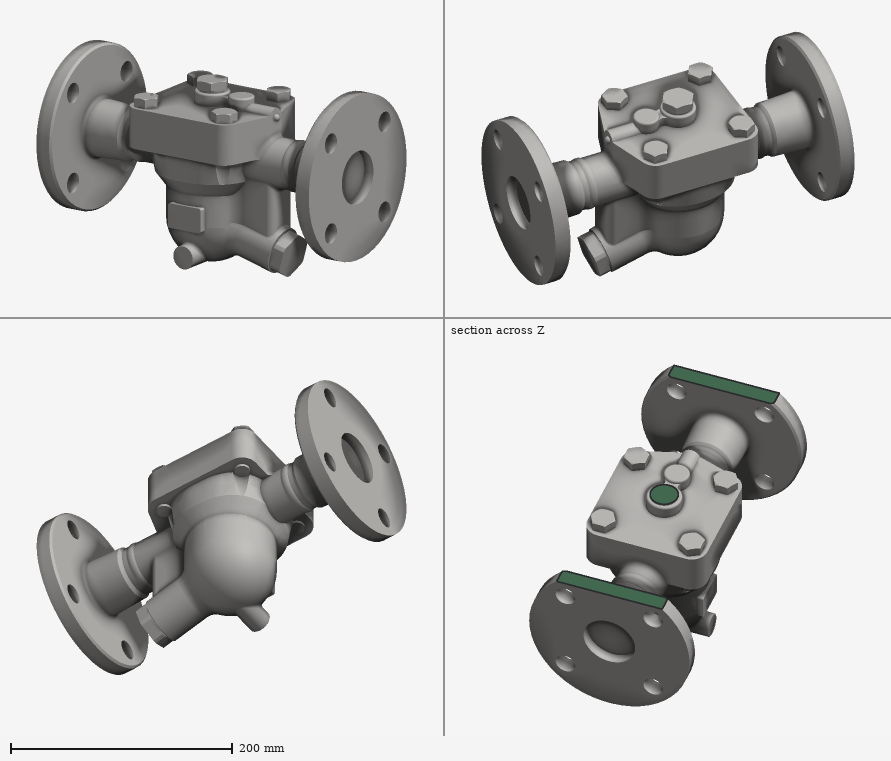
import cadquery as cq
import math

FACE_TO_FACE = 300.0
FLANGE_RADIUS = 155.0 / 2
FLANGE_THICKNESS = 16.0
FLANGE_CHAMFER = 2.0
FLANGE_HOLE_DIAMETER = 19.0
FLANGE_HOLE_OFFSET = 42.4
BORE_DIAMETER = 50.0
BORE_DEPTH = 10.0
PIPE_RADIUS = 46.0 / 2
NECK_FILLET = 3.3
NECK_LARGE_RADIUS = 26.9
NECK_SMALL_RADIUS = 25.4
NECK_END = 52.5
NECK_STEP_END = 56.0
BEAD_START = 61.0
BEAD_END = 68.8
BEAD_HEIGHT = 1.0
HALF_LENGTH = FACE_TO_FACE / 2
SURFACE_TOLERANCE = 0.01
EDGE_SAMPLES = (0.1, 0.5, 0.9)

BODY_X = -10.0
PLATE_HALF = 58.0
BOLT_OFFSET = 43.0
CORNER_RADIUS = PLATE_HALF - BOLT_OFFSET
NOSE_X = 59.6
NOSE_HALF_WIDTH = 9.0
PLATE_BOTTOM = 6.6
JOINT_Z = 27.1
COVER_TOP = 44.5
PIPE_TO_PLATE_FILLET = 4.0

BOLT_AF = 21.0
BOLT_HEAD_HEIGHT = 9.0
HEX_CHAMFER = 0.8
BOLT_END_DIAMETER = 14.0
BOLT_END_LENGTH = 2.6
MAIN_BOSS_RADIUS = 16.5
SIDE_BOSS_RADIUS = 12.0
SIDE_BOSS_SPACING = 32.0
BOSS_TOP = 56.4
BOSS_ROUND = 2.0
WEB_TOP = 53.6
WEB_ROUND = 6.0
PLUG_AF = 27.0
PLUG_NECK_RADIUS = 13.0
PLUG_BOTTOM = 58.1
PLUG_TOP = 66.7
CHANNEL_RADIUS = NOSE_HALF_WIDTH
CHANNEL_Z = 41.6
BALL_RADIUS = 3.5
BALL_PROTRUSION = 4.0

VESSEL_RADIUS = 42.0
DOME_Z = -62.0
SHOULDER_TOP = -18.4
SHOULDER_BOTTOM = -32.2
SHOULDER_HALF = 50.3
SHOULDER_DIAGONAL = 52.3
BODY_TOP_HALF = 53.0
BODY_TOP_DIAGONAL = 57.0
FLARE_POINTS = 16
BOLT_CLEARANCE_RADIUS = 9.0

PORT_ANGLE = 15.0
PORT_RADIUS = 44.0 / 2
PORT_LENGTH = 80.0
PORT_ROUND = 15.5
CAP_AF = 38.0
CAP_CORNER_RADIUS = 20.86
CAP_NECK_RADIUS = 19.0
CAP_NECK_LENGTH = 1.4
CAP_LENGTH = 11.08
RIB_HALF_WIDTH = 17.0
RIB_START_X = 12.0
RIB_END_X = 67.7
RIB_BOTTOM = -71.0
RIB_CORNER_RADIUS = 7.2
RIB_TO_VESSEL_RADIUS = 14.6
RIB_TO_PORT_FILLET = 2.0
RIB_TO_PIPE_FILLET = 4.0

DRAIN_RADIUS = 22.0 / 2
DRAIN_Z = -91.0
DRAIN_END_Y = -46.5
DRAIN_CHAMFER = 0.5
DRAIN_FILLET = 3.0
PAD_WIDTH = 36.0
PAD_TOP = -42.7
PAD_BOTTOM = -66.0
PAD_FACE_Y = -44.5
PAD_CORNER_RADIUS = 2.0


def cylinder_z(x, y, z_low, z_high, radius):
    return cq.Workplane("XY", origin=(x, y, z_low)).circle(radius).extrude(z_high - z_low)


def hex_corner_radius(across_flats):
    return across_flats / math.sqrt(3)


def hex_prism(across_flats, height):
    """Hexagonal prism on the XY plane with a corner on +X."""
    return cq.Workplane("XY").polygon(6, 2 * hex_corner_radius(across_flats)).extrude(height)


def hex_head(across_flats, height, bevelled_ends):
    """Hexagonal prism whose corners are bevelled at the ends chosen by a face selector."""
    corner = hex_corner_radius(across_flats)
    bevel = cq.Workplane("XY").circle(corner).extrude(height)
    bevel = bevel.faces(bevelled_ends).chamfer(HEX_CHAMFER, corner - across_flats / 2)
    return hex_prism(across_flats, height).intersect(bevel)


def pipe_end():
    """Flange, weld neck and weld bead at the inlet (-X) end, ending at mid-length."""
    fillet_start = FLANGE_THICKNESS + NECK_FILLET
    diagonal = NECK_FILLET * (1 - math.sqrt(0.5))
    profile = (
        cq.Workplane("XY")
        .moveTo(0, 0)
        .lineTo(0, FLANGE_RADIUS)
        .lineTo(FLANGE_THICKNESS - FLANGE_CHAMFER, FLANGE_RADIUS)
        .lineTo(FLANGE_THICKNESS, FLANGE_RADIUS - FLANGE_CHAMFER)
        .lineTo(FLANGE_THICKNESS, NECK_LARGE_RADIUS + NECK_FILLET)
        .threePointArc(
            (FLANGE_THICKNESS + diagonal, NECK_LARGE_RADIUS + diagonal), (fillet_start, NECK_LARGE_RADIUS)
        )
        .lineTo(NECK_END, NECK_SMALL_RADIUS)
        .lineTo(NECK_STEP_END, PIPE_RADIUS)
        .lineTo(BEAD_START, PIPE_RADIUS)
        .threePointArc(((BEAD_START + BEAD_END) / 2, PIPE_RADIUS + BEAD_HEIGHT), (BEAD_END, PIPE_RADIUS))
        .lineTo(HALF_LENGTH, PIPE_RADIUS)
        .lineTo(HALF_LENGTH, 0)
        .close()
    )
    end = profile.revolve(360, (0, 0, 0), (1, 0, 0)).translate((-HALF_LENGTH, 0, 0))
    hole_span = 2 * FLANGE_HOLE_OFFSET
    holes = (
        cq.Workplane("YZ", origin=(-HALF_LENGTH, 0, 0))
        .rect(hole_span, hole_span, forConstruction=True)
        .vertices()
        .circle(FLANGE_HOLE_DIAMETER / 2)
        .extrude(FLANGE_THICKNESS)
    )
    bore = cq.Workplane("YZ", origin=(-HALF_LENGTH, 0, 0)).circle(BORE_DIAMETER / 2).extrude(BORE_DEPTH)
    return end.cut(holes).cut(bore)


def plate(z_low, z_high):
    """Cover outline: square with rounded corners, tapering to a blunt nose on the +X side."""
    bolt_x = BODY_X + BOLT_OFFSET
    left = BODY_X - PLATE_HALF
    left_bolt_x = BODY_X - BOLT_OFFSET
    dx = NOSE_X - bolt_x
    dy = NOSE_HALF_WIDTH - BOLT_OFFSET
    normal = math.atan2(dy, dx) + math.acos(CORNER_RADIUS / math.hypot(dx, dy))
    middle = (normal + math.pi / 2) / 2

    def on_corner(angle, side):
        return (
            bolt_x + CORNER_RADIUS * math.cos(angle),
            side * (BOLT_OFFSET + CORNER_RADIUS * math.sin(angle)),
        )

    bulge = CORNER_RADIUS * math.sqrt(0.5)
    outline = (
        cq.Workplane("XY", origin=(0, 0, z_low))
        .moveTo(NOSE_X, NOSE_HALF_WIDTH)
        .lineTo(*on_corner(normal, 1))
        .threePointArc(on_corner(middle, 1), (bolt_x, PLATE_HALF))
        .lineTo(left_bolt_x, PLATE_HALF)
        .threePointArc((left_bolt_x - bulge, BOLT_OFFSET + bulge), (left, BOLT_OFFSET))
        .lineTo(left, -BOLT_OFFSET)
        .threePointArc((left_bolt_x - bulge, -BOLT_OFFSET - bulge), (left_bolt_x, -PLATE_HALF))
        .lineTo(bolt_x, -PLATE_HALF)
        .threePointArc(on_corner(middle, -1), on_corner(normal, -1))
        .lineTo(NOSE_X, -NOSE_HALF_WIDTH)
        .close()
    )
    return outline.extrude(z_high - z_low)


def edges_on_pipe(shape, keep):
    """Edges lying on the pipe surface whose middle point satisfies keep."""
    found = []
    for edge in shape.edges().vals():
        points = [edge.positionAt(t) for t in EDGE_SAMPLES]
        on_pipe = all(abs(math.hypot(p.y, p.z) - PIPE_RADIUS) < SURFACE_TOLERANCE for p in points)
        if on_pipe and keep(points[1]):
            found.append(edge)
    return found


def body_flange_on_pipe():
    """Middle of the pipe with the body flange, rounded where the pipe enters the flange sides."""
    half = HALF_LENGTH - BEAD_END
    tube = cq.Workplane("YZ", origin=(-half, 0, 0)).circle(PIPE_RADIUS).extrude(2 * half)
    joined = tube.union(plate(PLATE_BOTTOM, JOINT_Z))
    entry = edges_on_pipe(joined, lambda p: p.z > PLATE_BOTTOM + 0.1 and abs(p.x) < half - 1)
    return joined.newObject(entry).fillet(PIPE_TO_PLATE_FILLET)


def bowed_square(z, half, diagonal):
    """Smooth closed outline around the body axis, its radius running from half on X and Y to diagonal."""
    mean = (half + diagonal) / 2
    swing = (diagonal - half) / 2
    points = []
    for step in range(FLARE_POINTS):
        angle = 2 * math.pi * step / FLARE_POINTS
        radius = mean - swing * math.cos(4 * angle)
        points.append((BODY_X + radius * math.cos(angle), radius * math.sin(angle)))
    return cq.Workplane("XY", origin=(0, 0, z)).spline(points, periodic=True).wire().val()


def body():
    """Vessel with a spherical bottom, sloping shoulder and a flare up to the body flange."""
    dome_reach = VESSEL_RADIUS * math.sqrt(0.5)
    shell = (
        cq.Workplane("XZ")
        .moveTo(0, DOME_Z - VESSEL_RADIUS)
        .threePointArc((dome_reach, DOME_Z - dome_reach), (VESSEL_RADIUS, DOME_Z))
        .lineTo(VESSEL_RADIUS, SHOULDER_BOTTOM)
        .lineTo(0, SHOULDER_BOTTOM)
        .close()
        .revolve(360, (0, 0, 0), (0, 1, 0))
        .translate((BODY_X, 0, 0))
    )
    sections = [
        bowed_square(SHOULDER_BOTTOM, VESSEL_RADIUS, VESSEL_RADIUS),
        bowed_square(SHOULDER_TOP, SHOULDER_HALF, SHOULDER_DIAGONAL),
        bowed_square(PLATE_BOTTOM, BODY_TOP_HALF, BODY_TOP_DIAGONAL),
    ]
    flare = cq.Workplane(cq.Solid.makeLoft(sections, True))
    for x, y in bolt_places():
        flare = flare.cut(cylinder_z(x, y, SHOULDER_TOP, PLATE_BOTTOM, BOLT_CLEARANCE_RADIUS))
    return shell.union(flare)


def bolt_places():
    return [(BODY_X + i * BOLT_OFFSET, j * BOLT_OFFSET) for i in (-1, 1) for j in (-1, 1)]


def bolts():
    """Bolt heads on the cover and bolt ends below the body flange, as a list."""
    parts = []
    for x, y in bolt_places():
        turn = 0 if (x - BODY_X) * y > 0 else 30
        head = hex_head(BOLT_AF, BOLT_HEAD_HEIGHT, ">Z").rotate((0, 0, 0), (0, 0, 1), turn)
        head = head.translate((x, y, COVER_TOP))
        end = cylinder_z(x, y, PLATE_BOTTOM - BOLT_END_LENGTH, PLATE_BOTTOM, BOLT_END_DIAMETER / 2)
        parts += [head, end]
    return parts


def boss(x, radius):
    """Round boss on the cover with a rounded top edge."""
    return cylinder_z(x, 0, COVER_TOP, BOSS_TOP, radius).faces(">Z").edges().fillet(BOSS_ROUND)


def cover_bosses():
    """Main and side boss joined by a waisted web, with the hexagonal plug and the side channel."""
    side_x = BODY_X + SIDE_BOSS_SPACING
    main = boss(BODY_X, MAIN_BOSS_RADIUS)
    side = boss(side_x, SIDE_BOSS_RADIUS)

    to_main = MAIN_BOSS_RADIUS + WEB_ROUND
    to_side = SIDE_BOSS_RADIUS + WEB_ROUND
    waist_x = (SIDE_BOSS_SPACING**2 + to_main**2 - to_side**2) / (2 * SIDE_BOSS_SPACING)
    waist_y = math.sqrt(to_main**2 - waist_x**2)
    main_share = MAIN_BOSS_RADIUS / to_main
    main_touch = (BODY_X + waist_x * main_share, waist_y * main_share)
    side_share = SIDE_BOSS_RADIUS / to_side
    side_touch = (side_x - (SIDE_BOSS_SPACING - waist_x) * side_share, waist_y * side_share)
    waist = (BODY_X + waist_x, waist_y - WEB_ROUND)
    web = (
        cq.Workplane("XY", origin=(0, 0, COVER_TOP))
        .moveTo(BODY_X, 0)
        .lineTo(*main_touch)
        .threePointArc(waist, side_touch)
        .lineTo(side_x, 0)
        .lineTo(side_touch[0], -side_touch[1])
        .threePointArc((waist[0], -waist[1]), (main_touch[0], -main_touch[1]))
        .close()
        .extrude(WEB_TOP - COVER_TOP)
    )
    neck = cylinder_z(BODY_X, 0, BOSS_TOP, PLUG_BOTTOM, PLUG_NECK_RADIUS)
    plug = hex_head(PLUG_AF, PLUG_TOP - PLUG_BOTTOM, "<Z or >Z").translate((BODY_X, 0, PLUG_BOTTOM))
    channel_start = cq.Workplane("YZ", origin=(side_x, 0, CHANNEL_Z))
    channel = channel_start.circle(CHANNEL_RADIUS).extrude(NOSE_X - side_x)
    ball_x = NOSE_X + BALL_PROTRUSION - BALL_RADIUS
    ball = cq.Workplane("XY").sphere(BALL_RADIUS).translate((ball_x, 0, CHANNEL_Z))
    return main.union(side).union(web).union(neck).union(plug).union(channel).union(ball)


def along_port(shape):
    """Turns a shape built along +Z at the origin so that it runs along the port from the dome centre."""
    return shape.rotate((0, 0, 0), (0, 1, 0), 90 + PORT_ANGLE).translate((BODY_X, 0, DOME_Z))


def port():
    """Port cylinder flowing into the dome through a concave round."""
    round_s = math.sqrt((VESSEL_RADIUS + PORT_ROUND) ** 2 - (PORT_RADIUS + PORT_ROUND) ** 2)
    share = VESSEL_RADIUS / (VESSEL_RADIUS + PORT_ROUND)
    touch = ((PORT_RADIUS + PORT_ROUND) * share, round_s * share)
    profile = (
        cq.Workplane("XZ")
        .moveTo(0, 0)
        .lineTo(*touch)
        .radiusArc((PORT_RADIUS, round_s), PORT_ROUND)
        .lineTo(PORT_RADIUS, PORT_LENGTH)
        .lineTo(0, PORT_LENGTH)
        .close()
    )
    return along_port(profile.revolve(360, (0, 0, 0), (0, 1, 0)))


def port_cap():
    """Short neck and hexagonal cap with turned-down corners at the port end."""
    head_start = PORT_LENGTH + CAP_NECK_LENGTH
    neck = cylinder_z(0, 0, PORT_LENGTH, head_start, CAP_NECK_RADIUS)
    hexagon = hex_prism(CAP_AF, CAP_LENGTH).translate((0, 0, head_start))
    head = hexagon.intersect(cylinder_z(0, 0, head_start, head_start + CAP_LENGTH, CAP_CORNER_RADIUS))
    return along_port(neck.union(head))


def on_port(point):
    """Whether a point lies on the port cylinder."""
    angle = math.radians(PORT_ANGLE)
    above_axis = (point.x - BODY_X) * math.sin(angle) + (point.z - DOME_Z) * math.cos(angle)
    return abs(math.hypot(above_axis, point.y) - PORT_RADIUS) < SURFACE_TOLERANCE


def rib():
    """Straight rib with rounded outer corners between pipe and port, filleted into both."""
    column = (
        cq.Workplane("XY", origin=(0, 0, RIB_BOTTOM))
        .moveTo(RIB_START_X, -RIB_HALF_WIDTH)
        .rect(RIB_END_X - RIB_START_X, 2 * RIB_HALF_WIDTH, centered=False)
        .extrude(-RIB_BOTTOM)
        .edges("|Z and >X")
        .fillet(RIB_CORNER_RADIUS)
    )
    tube_length = HALF_LENGTH - BEAD_END
    on_tube = column.union(cq.Workplane("YZ").circle(PIPE_RADIUS).extrude(tube_length))
    entry = edges_on_pipe(on_tube, lambda p: p.z < 0 and 1 < p.x < tube_length - 1)
    filleted = on_tube.newObject(entry).fillet(RIB_TO_PIPE_FILLET)

    on_both = filleted.union(along_port(cylinder_z(0, 0, 0, PORT_LENGTH, PORT_RADIUS)))
    entry = [
        edge
        for edge in on_both.edges().vals()
        if edge.geomType() != "CIRCLE"
        and RIB_START_X + 1 < edge.positionAt(0.5).x
        and all(on_port(edge.positionAt(t)) for t in EDGE_SAMPLES)
        and edge.positionAt(0.5).z > RIB_BOTTOM
    ]
    return on_both.newObject(entry).fillet(RIB_TO_PORT_FILLET)


def rib_roots():
    """Concave rounds that lead from the vessel wall to the two rib sides."""
    centre_y = RIB_HALF_WIDTH + RIB_TO_VESSEL_RADIUS
    reach = VESSEL_RADIUS + RIB_TO_VESSEL_RADIUS
    centre_x = BODY_X + math.sqrt(reach**2 - centre_y**2)
    share = VESSEL_RADIUS / reach
    touch = (BODY_X + (centre_x - BODY_X) * share, centre_y * share)
    return (
        cq.Workplane("XY")
        .moveTo(BODY_X, 0)
        .lineTo(*touch)
        .radiusArc((centre_x, RIB_HALF_WIDTH), -RIB_TO_VESSEL_RADIUS)
        .lineTo(centre_x, -RIB_HALF_WIDTH)
        .radiusArc((touch[0], -touch[1]), -RIB_TO_VESSEL_RADIUS)
        .close()
        .extrude(RIB_BOTTOM)
    )


def on_drain(point):
    """Whether a point lies on the drain cylinder."""
    from_axis = math.hypot(point.x - BODY_X, point.z - DRAIN_Z)
    return abs(from_axis - DRAIN_RADIUS) < SURFACE_TOLERANCE


def body_with_drain():
    """Body with the drain stub, filleted where the stub leaves the dome."""
    stub = (
        cq.Workplane("XZ", origin=(BODY_X, 0, DRAIN_Z))
        .circle(DRAIN_RADIUS)
        .extrude(-DRAIN_END_Y)
        .faces("<Y")
        .edges()
        .chamfer(DRAIN_CHAMFER)
    )
    joined = body().union(stub)
    entry = [
        edge
        for edge in joined.edges().vals()
        if edge.geomType() not in ("LINE", "CIRCLE")
        and all(on_drain(edge.positionAt(t)) for t in EDGE_SAMPLES)
    ]
    return joined.newObject(entry).fillet(DRAIN_FILLET)


def pad():
    """Flat nameplate pad with rounded corners on the -Y side of the vessel."""
    height = PAD_TOP - PAD_BOTTOM
    return (
        cq.Workplane("XZ", origin=(BODY_X, 0, PAD_BOTTOM + height / 2))
        .rect(PAD_WIDTH, height)
        .extrude(-PAD_FACE_Y)
        .edges("|Y")
        .fillet(PAD_CORNER_RADIUS)
    )


inlet = pipe_end()
outlet = inlet.mirror("YZ")
valve = inlet.union(outlet).union(body_flange_on_pipe())
valve = valve.union(rib()).union(body_with_drain()).union(rib_roots())
valve = valve.union(port()).union(port_cap()).union(pad())
valve = valve.union(plate(JOINT_Z, COVER_TOP), clean=False)
for fitting in [cover_bosses()] + bolts():
    valve = valve.union(fitting, clean=False)
result = valve